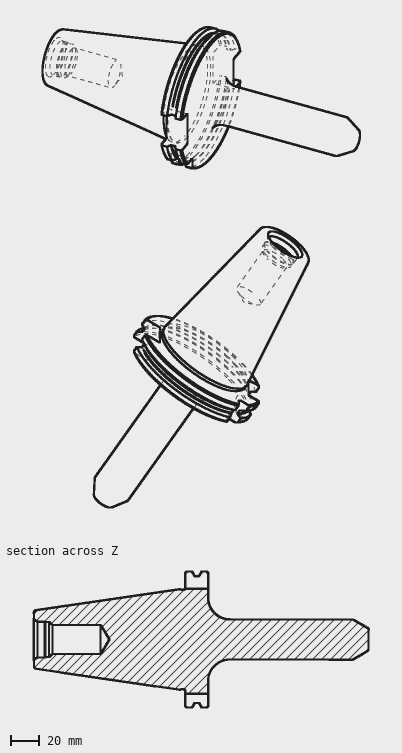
import cadquery as cq
import math

total_length = 231.5
gauge_plane = 101.7
taper_end = 101.0
relief_start = 102.4
flange_start = 104.7
flange_end = 120.7
groove_center = 112.8
tip_cone_start = 220.5

gauge_radius = 35.0
taper_slope = 7 / 48
small_end_rounding = 2.0

relief_radius = 34.5
relief_fillet = 1.2

flange_radius = 97.5 / 2
flange_chamfer = 1.0
groove_depth = 3.0
groove_bottom_width = 3.0
groove_wall_angle = 30
groove_bottom_fillet = 0.5

slot_width = 25.7
front_slot_floor = 37.5
back_slot_floor = 35.2
notch_corner = 29.9
slot_corner_fillet = 1.6

arbor_radius = 28.0 / 2
neck_fillet = 14.8
tip_cone_angle = 30
tip_shoulder_fillet = 1.5
tip_end_fillet = 1.5

bore_mouth_radius = 14.1
bore_lead_radius = 13.5
bore_lead_start = 0.7
guide_radius = 12.3
guide_start = 2.8
guide_end = 7.6
pilot_radius = 12.0
pilot_start = 8.3
pilot_end = 10.7
seat_radius = 11.3
seat_start = 11.5
drill_radius = 10.0
drill_start = 13.0
drill_end = 46.3
drill_point_angle = 59


def taper_radius(x):
    """Radius of the taper at station x."""
    return gauge_radius + (x - gauge_plane) * taper_slope


def edges_between(x_first, x_last):
    """Selector for edges centered between two stations along the axis."""
    margin = 0.2
    return cq.selectors.BoxSelector(
        (x_first - margin, -flange_radius, -flange_radius),
        (x_last + margin, flange_radius, flange_radius),
    )


def make_shank():
    """Taper with its relief neck, running into the flange."""
    return (
        cq.Workplane("XY")
        .moveTo(0, 0)
        .lineTo(0, taper_radius(0))
        .lineTo(taper_end, taper_radius(taper_end))
        .lineTo(relief_start, relief_radius)
        .lineTo(flange_start - relief_fillet, relief_radius)
        .radiusArc((flange_start, relief_radius + relief_fillet), -relief_fillet)
        .lineTo(flange_start, 0)
        .close()
        .revolve(360, (0, 0, 0), (1, 0, 0))
        .faces("<X")
        .edges()
        .fillet(small_end_rounding)
    )


def make_flange():
    """Grooved disc with chamfered rims."""
    bottom_half = groove_bottom_width / 2
    mouth_half = bottom_half + groove_depth * math.tan(math.radians(groove_wall_angle))
    rim = flange_radius - flange_chamfer
    groove_radius = flange_radius - groove_depth
    outline = [
        (flange_start, 0),
        (flange_start, rim),
        (flange_start + flange_chamfer, flange_radius),
        (groove_center - mouth_half, flange_radius),
        (groove_center - bottom_half, groove_radius),
        (groove_center + bottom_half, groove_radius),
        (groove_center + mouth_half, flange_radius),
        (flange_end - flange_chamfer, flange_radius),
        (flange_end, rim),
        (flange_end, 0),
    ]
    flange = cq.Workplane("XY").polyline(outline).close().revolve(360, (0, 0, 0), (1, 0, 0))
    bottom_edges = edges_between(groove_center - bottom_half, groove_center + bottom_half)
    return flange.edges(bottom_edges).fillet(groove_bottom_fillet)


def make_arbor():
    """Cylindrical arbor with a flared root and a blunt conical tip."""
    tip_length = total_length - tip_cone_start
    tip_radius = arbor_radius - tip_length * math.tan(math.radians(tip_cone_angle))
    arbor = (
        cq.Workplane("XY")
        .moveTo(flange_end, 0)
        .lineTo(flange_end, arbor_radius + neck_fillet)
        .radiusArc((flange_end + neck_fillet, arbor_radius), -neck_fillet)
        .lineTo(tip_cone_start, arbor_radius)
        .lineTo(total_length, tip_radius)
        .lineTo(total_length, 0)
        .close()
        .revolve(360, (0, 0, 0), (1, 0, 0))
    )
    shoulder = edges_between(tip_cone_start, tip_cone_start)
    arbor = arbor.edges(shoulder).fillet(tip_shoulder_fillet)
    return arbor.faces(">X").edges().fillet(tip_end_fillet)


def make_bore():
    """Stepped bore ending in a drill point."""
    point_length = drill_radius / math.tan(math.radians(drill_point_angle))
    outline = [
        (0, 0),
        (0, bore_mouth_radius),
        (bore_lead_start, bore_lead_radius),
        (guide_start, guide_radius),
        (guide_end, guide_radius),
        (pilot_start, pilot_radius),
        (pilot_end, pilot_radius),
        (seat_start, seat_radius),
        (drill_start, drill_radius),
        (drill_end, drill_radius),
        (drill_end + point_length, 0),
    ]
    return cq.Workplane("XY").polyline(outline).close().revolve(360, (0, 0, 0), (1, 0, 0))


def flange_cut(y_near, y_far, z_near, z_far):
    """Block through the flange thickness with rounded edges along X."""
    block = cq.Workplane("XY").box(
        flange_end - flange_start, y_far - y_near, z_far - z_near, centered=False
    )
    return block.edges("|X").fillet(slot_corner_fillet).translate((flange_start, y_near, z_near))


cut_overrun = 4.6
reach = flange_radius + cut_overrun
half_slot = slot_width / 2
front_slot = flange_cut(-reach, -front_slot_floor, -half_slot, half_slot)
back_slot = flange_cut(back_slot_floor, reach, -half_slot, half_slot)
orientation_notch = flange_cut(-reach, -notch_corner, -reach, -notch_corner)

flange = make_flange().cut(front_slot).cut(back_slot).cut(orientation_notch)
result = make_shank().union(flange).union(make_arbor()).cut(make_bore())